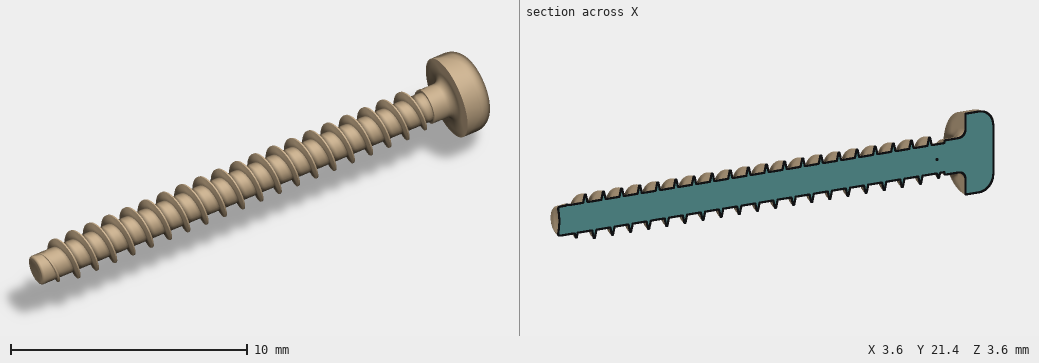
import cadquery as cq
import math

total_length = 21.4

head_radius = 1.8
head_height = 1.4
head_rounding = 0.73

shank_radius = 0.77
shank_length = 1.03
underhead_fillet = 0.32
core_diameter = 1.3
tip_rounding = 0.096
tip_dish_depth = 0.06

thread_radius = 1.0
thread_root_radius = 0.6
thread_root_width = 0.25
thread_crest_width = 0.06
full_turns = 19
full_thread_length = 16.9
full_thread_top = 18.25
fade_in_turns = 1.0
fade_in_crest_radius = 0.75
fade_out_turns = 1.25
fade_out_crest_radius = 0.62
start_angle = 90.0

core_radius = core_diameter / 2
tip_radius = core_radius - tip_rounding
pitch = full_thread_length / full_turns
underhead_y = total_length - head_height
shank_end_y = underhead_y - shank_length
thread_start_y = full_thread_top + fade_in_turns * pitch


def make_body():
    """Head, shank, core and tip, turned about the Y axis."""
    arc_offset = head_rounding * (1 - math.sqrt(0.5))
    fillet_offset = underhead_fillet * (1 - math.sqrt(0.5))
    dish_sphere_radius = (tip_radius**2 + tip_dish_depth**2) / (2 * tip_dish_depth)
    dish_half_angle = math.asin(tip_radius / dish_sphere_radius) / 2
    dish_middle = (
        dish_sphere_radius * math.sin(dish_half_angle),
        tip_dish_depth - dish_sphere_radius * (1 - math.cos(dish_half_angle)),
    )
    outline = (
        cq.Workplane("XY")
        .moveTo(0, tip_dish_depth)
        .threePointArc(dish_middle, (tip_radius, 0))
        .radiusArc((core_radius, tip_rounding), -tip_rounding)
        .lineTo(core_radius, shank_end_y)
        .lineTo(shank_radius, shank_end_y)
        .lineTo(shank_radius, underhead_y - underhead_fillet)
        .threePointArc(
            (shank_radius + fillet_offset, underhead_y - fillet_offset),
            (shank_radius + underhead_fillet, underhead_y),
        )
        .lineTo(head_radius, underhead_y)
        .lineTo(head_radius, total_length - head_rounding)
        .threePointArc(
            (head_radius - arc_offset, total_length - arc_offset),
            (head_radius - head_rounding, total_length),
        )
        .lineTo(0, total_length)
        .close()
    )
    return outline.revolve(360, (0, 0, 0), (0, 1, 0))


def helix_edge(radius, radius_change, height, turns, base, angle):
    """Helix about Z from the given base height and angle, on a cylinder or a cone."""
    rise = turns * pitch
    centre = cq.Vector(0, 0, base + height)
    if radius_change == 0:
        helix = cq.Wire.makeHelix(pitch, rise, radius, centre)
    else:
        cone_angle = math.atan2(radius_change, rise)
        slant = 1 / math.cos(cone_angle)
        helix = cq.Wire.makeHelix(
            pitch * slant, rise * slant, radius, centre, angle=math.degrees(cone_angle)
        )
    return helix.rotate(cq.Vector(0, 0, 0), cq.Vector(0, 0, 1), angle).Edges()[0]


def ridge_section(start_sink, end_sink, turns, turns_before):
    """Trapezoidal thread ridge along +Z, sunk towards the axis by the given depths at its ends."""
    corners = [
        (thread_root_radius, -thread_root_width / 2),
        (thread_radius, -thread_crest_width / 2),
        (thread_radius, thread_crest_width / 2),
        (thread_root_radius, thread_root_width / 2),
    ]
    edges = [
        helix_edge(
            radius - start_sink,
            start_sink - end_sink,
            height,
            turns,
            turns_before * pitch,
            start_angle + turns_before * 360,
        )
        for radius, height in corners
    ]
    sides = [cq.Face.makeRuledSurface(edges[i - 1], edges[i]) for i in range(len(edges))]
    caps = []
    for end in (0, 1):
        points = [edge.positionAt(end) for edge in edges]
        caps.append(cq.Face.makeFromWires(cq.Wire.makePolygon(points, close=True)))
    return cq.Solid.makeSolid(cq.Shell.makeShell(sides + caps))


def make_thread():
    """Fade-in, full-height and fade-out stretches, turned from +Z to run towards the tip."""
    fade_in_sink = thread_radius - fade_in_crest_radius
    fade_out_sink = thread_radius - fade_out_crest_radius
    stretches = [
        ridge_section(fade_in_sink, 0, fade_in_turns, 0),
        ridge_section(0, 0, full_turns, fade_in_turns),
        ridge_section(0, fade_out_sink, fade_out_turns, fade_in_turns + full_turns),
    ]
    return [
        cq.Workplane(obj=stretch).rotate((0, 0, 0), (1, 0, 0), 90).translate((0, thread_start_y, 0))
        for stretch in stretches
    ]


result = make_body()
for stretch in make_thread():
    result = result.union(stretch)